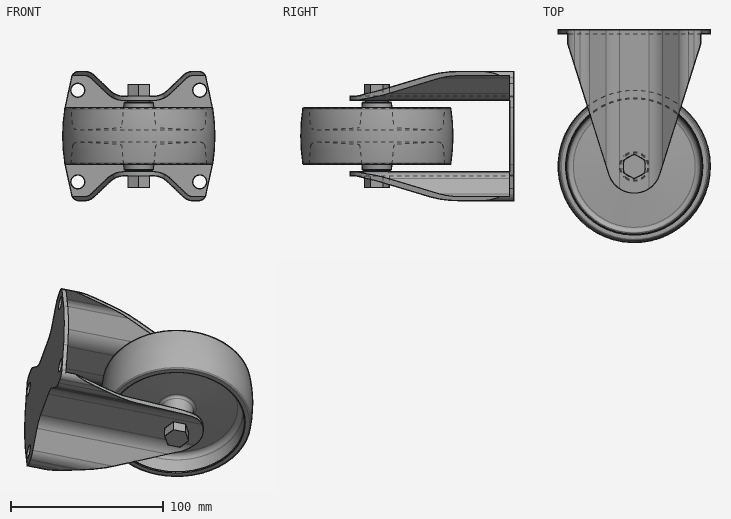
import cadquery as cq
import math

wheel_radius = 49.97
axle_y = wheel_radius - 139.8
rim_edge_radius = 48.6
rim_half_width = 18.6
rim_edge_fillet = 0.8
rim_inner_radius = 44.5
rim_inner_chamfer = 0.5
rim_root_radius = 43.6
rim_root_fillet = 3.6
web_hub_z = 5.3
web_rim_z = 3.9

hub_half_length = 22.5
hub_top_radius = 9.6
hub_base_radius = 11.0
hub_chamfer = 0.7
hub_fillet = 1.8
spacer_diameter = 15.0
bolt_across_flats = 14.1
bolt_half_length = 33.8

sheet = 2.8
plate_half_height = 42.5
plate_corner_x = 43.2
plate_corner_radius = 5.0
plate_shoulder_x = 48.4
plate_shoulder_z = 18.6
hole_diameter = 9.0
hole_x = 40.0
hole_z = 30.0

leg_inner_z = 23.3
leg_flat_half_width = 9.6
valley_radius = 13.0
crest_radius = 9.1
crest_end_x = 35.6
fold_angle = math.radians(44)
leg_half_width = 43.9
leg_shoulder_y = -8.7
leg_tip_radius = 17.5


def wheel():
    """Crowned rim, web thinning outward and tapered hub, revolved about the axle."""
    edge_z = rim_half_width - rim_edge_fillet
    upper = (
        cq.Workplane("XZ")
        .moveTo(0, 0)
        .lineTo(0, hub_half_length)
        .lineTo(hub_top_radius - hub_chamfer, hub_half_length)
        .lineTo(hub_top_radius, hub_half_length - hub_chamfer)
        .lineTo(hub_base_radius, web_hub_z + hub_fillet)
        .radiusArc((hub_base_radius + hub_fillet, web_hub_z), -hub_fillet)
        .lineTo(rim_root_radius - rim_root_fillet, web_rim_z)
        .radiusArc((rim_root_radius, web_rim_z + rim_root_fillet), -rim_root_fillet)
        .lineTo(rim_inner_radius, rim_half_width - rim_inner_chamfer)
        .lineTo(rim_inner_radius + rim_inner_chamfer, rim_half_width)
        .lineTo(rim_edge_radius - rim_edge_fillet, rim_half_width)
        .radiusArc((rim_edge_radius, edge_z), rim_edge_fillet)
        .lineTo(rim_edge_radius, 0)
        .close()
        .revolve(360, (0, 0, 0), (0, 1, 0))
    )
    crown = (
        cq.Workplane("XZ")
        .moveTo(0, -edge_z)
        .lineTo(rim_edge_radius, -edge_z)
        .threePointArc((wheel_radius, 0), (rim_edge_radius, edge_z))
        .lineTo(0, edge_z)
        .close()
        .revolve(360, (0, 0, 0), (0, 1, 0))
    )
    inner_disc = cq.Workplane("XY").circle(rim_edge_radius - rim_edge_fillet).extrude(edge_z, both=True)
    tread = crown.cut(inner_disc)
    return upper.union(upper.mirror("XY")).union(tread).translate((0, axle_y, 0))


def axle():
    """Spacer between hub and legs, with a hexagonal bolt head at each end."""
    spacer = cq.Workplane("XY").circle(spacer_diameter / 2).extrude(leg_inner_z + sheet / 2, both=True)
    head = (
        cq.Workplane("XY", origin=(0, 0, leg_inner_z + sheet / 2))
        .transformed(rotate=(0, 0, 90))
        .polygon(6, bolt_across_flats / math.cos(math.pi / 6))
        .extrude(bolt_half_length - leg_inner_z - sheet / 2)
    )
    return spacer.union(head).union(head.mirror("XY")).translate((0, axle_y, 0))


def plate_outline(depth):
    """Block with the plate outline: bowed sides, rounded corners."""
    return (
        cq.Workplane("XZ")
        .moveTo(-plate_corner_x, plate_half_height)
        .lineTo(plate_corner_x, plate_half_height)
        .lineTo(plate_shoulder_x, plate_shoulder_z)
        .threePointArc((wheel_radius, 0), (plate_shoulder_x, -plate_shoulder_z))
        .lineTo(plate_corner_x, -plate_half_height)
        .lineTo(-plate_corner_x, -plate_half_height)
        .lineTo(-plate_shoulder_x, -plate_shoulder_z)
        .threePointArc((-wheel_radius, 0), (-plate_shoulder_x, plate_shoulder_z))
        .close()
        .extrude(depth)
        .edges("|Y")
        .edges(">Z or <Z")
        .fillet(plate_corner_radius)
    )


def fold_curve(offset):
    """Points of the folded sheet's right half, moved out by offset along its normal.

    Returned in order: flat end, valley arc middle and end, crest arc start, middle and end.
    """
    valley_z = leg_inner_z + sheet + valley_radius
    crest_z = plate_half_height - crest_radius

    def valley(angle):
        radius = valley_radius + sheet - offset
        return (leg_flat_half_width + radius * math.sin(angle), valley_z - radius * math.cos(angle))

    def crest(angle):
        radius = crest_radius - sheet + offset
        return (crest_end_x - radius * math.sin(angle), crest_z + radius * math.cos(angle))

    return (
        valley(0),
        valley(fold_angle / 2),
        valley(fold_angle),
        crest(fold_angle),
        crest(fold_angle / 2),
        crest(0),
    )


def leg():
    """Upper folded leg, tapering in plan to a round tip about the axle."""
    inner = fold_curve(0)
    outer = fold_curve(sheet)
    tip_y = axle_y - leg_tip_radius
    fold = (
        cq.Workplane("XZ")
        .moveTo(0, leg_inner_z)
        .lineTo(*inner[0])
        .threePointArc(inner[1], inner[2])
        .lineTo(*inner[3])
        .threePointArc(inner[4], inner[5])
        .lineTo(plate_shoulder_x, inner[5][1])
        .lineTo(plate_shoulder_x, outer[5][1])
        .lineTo(*outer[5])
        .threePointArc(outer[4], outer[3])
        .lineTo(*outer[2])
        .threePointArc(outer[1], outer[0])
        .lineTo(0, outer[0][1])
        .close()
        .extrude(-tip_y)
    )
    fold = fold.union(fold.mirror("YZ"))

    run = leg_shoulder_y - axle_y
    distance = math.hypot(leg_half_width, run)
    tangent_angle = math.atan2(run, leg_half_width) - math.acos(leg_tip_radius / distance)
    tangent_x = leg_tip_radius * math.cos(tangent_angle)
    tangent_y = axle_y + leg_tip_radius * math.sin(tangent_angle)
    plan = (
        cq.Workplane("XY")
        .moveTo(-leg_half_width, 0)
        .lineTo(leg_half_width, 0)
        .lineTo(leg_half_width, leg_shoulder_y)
        .lineTo(tangent_x, tangent_y)
        .threePointArc((0, tip_y), (-tangent_x, tangent_y))
        .lineTo(-leg_half_width, leg_shoulder_y)
        .close()
        .extrude(plate_half_height)
    )
    return fold.intersect(plan).intersect(plate_outline(-tip_y))


def mounting_plate():
    """Flat plate, cut away outside the folds and drilled at the corners."""
    waist = fold_curve(sheet)
    above_fold = (
        cq.Workplane("XZ")
        .moveTo(-waist[5][0], waist[5][1])
        .threePointArc((-waist[4][0], waist[4][1]), (-waist[3][0], waist[3][1]))
        .lineTo(-waist[2][0], waist[2][1])
        .threePointArc((-waist[1][0], waist[1][1]), (-waist[0][0], waist[0][1]))
        .lineTo(*waist[0])
        .threePointArc(waist[1], waist[2])
        .lineTo(*waist[3])
        .threePointArc(waist[4], waist[5])
        .close()
        .extrude(sheet)
    )
    holes = (
        cq.Workplane("XZ")
        .rect(2 * hole_x, 2 * hole_z, forConstruction=True)
        .vertices()
        .circle(hole_diameter / 2)
        .extrude(sheet)
    )
    return plate_outline(sheet).cut(above_fold).cut(above_fold.mirror("XY")).cut(holes)


upper_leg = leg()
result = mounting_plate().union(upper_leg).union(upper_leg.mirror("XY")).union(axle()).union(wheel())